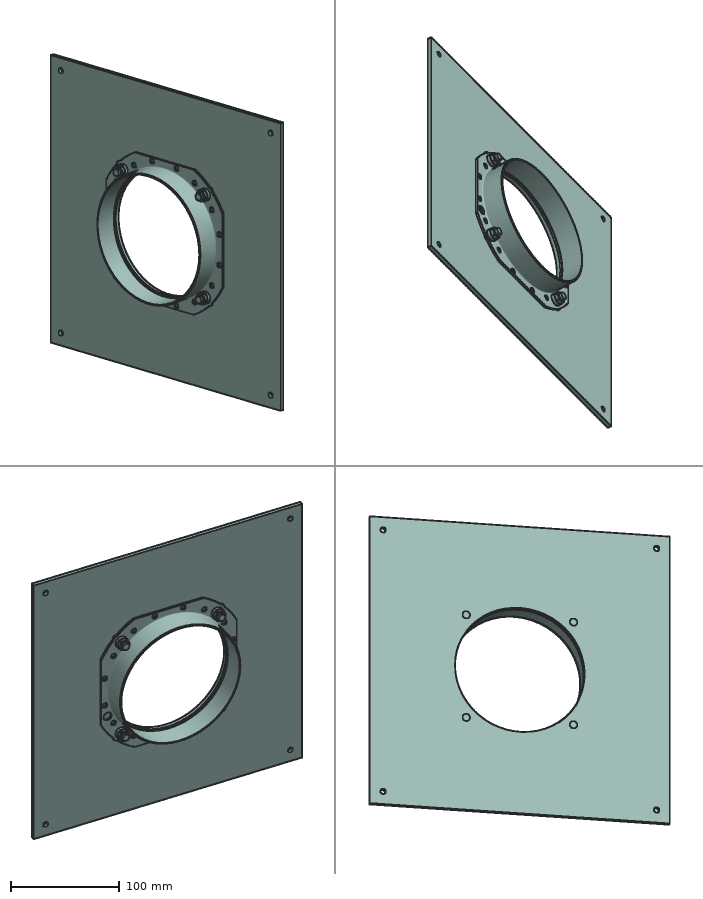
import cadquery as cq
import math

PLATE_SIZE = 282.0
PLATE_THICKNESS = 4.0
CORNER_HOLE_DIAMETER = 5.0
CORNER_HOLE_INSET = 12.5

COLLAR_LENGTH = 24.0
FLANGE_THICKNESS = 2.0
FLANGE_WIDTH = 142.0
FLANGE_CORNER_RADIUS = 79.8
TUBE_OUTER_RADIUS = 63.5
TUBE_WALL = 1.5
OPENING_RADIUS = 61.0
BASE_FILLET = 1.0
RIM_CHAMFER = 0.5
TAB_DIAMETER = 5.0
TAB_CENTRE_RADIUS = 78.5

RING_RADIUS = 69.0
RING_HOLE_DIAMETER = 5.0
RING_HOLE_ANGLES = (12.5, 32.5, 57.5, 77.5)
LARGE_HOLE_DIAMETER = 8.5
LARGE_HOLE_X = -64.5
LARGE_HOLE_Z = -28.0

FASTENER_RADIUS = 71.3
STUD_DIAMETER = 7.0
STUD_PROTRUSION = 11.8
NUT_BASE_DIAMETER = 11.8
NUT_BASE_HEIGHT = 3.5
NUT_HEIGHT = 7.0
NUT_CHAMFER = 1.0

QUADRANT_ANGLES = (0, 90, 180, 270)


def polar(radius, angle):
    """Point in the XZ plane at an angle measured from +X towards +Z."""
    return (radius * math.cos(math.radians(angle)), radius * math.sin(math.radians(angle)))


def facing_front(offset):
    """XZ sketch plane whose normal is -Y, set off from the plate front."""
    return cq.Workplane("XZ", origin=(0, -offset, 0))


def diagonal_points(radius):
    """One point on each diagonal, at the given distance from the centre."""
    return [polar(radius, quadrant + 45) for quadrant in QUADRANT_ANGLES]


fastener_points = diagonal_points(FASTENER_RADIUS)


def make_plate():
    """Square plate with the main opening, four corner holes and the stud holes."""
    hole_spacing = PLATE_SIZE - 2 * CORNER_HOLE_INSET
    back = facing_front(-PLATE_THICKNESS)
    square = back.rect(PLATE_SIZE, PLATE_SIZE).extrude(PLATE_THICKNESS)
    opening = back.circle(OPENING_RADIUS).extrude(PLATE_THICKNESS)
    corner_holes = (
        back.rect(hole_spacing, hole_spacing, forConstruction=True)
        .vertices()
        .circle(CORNER_HOLE_DIAMETER / 2)
        .extrude(PLATE_THICKNESS)
    )
    stud_holes = back.pushPoints(fastener_points).circle(STUD_DIAMETER / 2).extrude(PLATE_THICKNESS)
    return square.cut(opening).cut(corner_holes).cut(stud_holes)


def flange_cylinders(points, diameter):
    """Cylinders through the flange thickness at the given points."""
    return facing_front(0).pushPoints(points).circle(diameter / 2).extrude(FLANGE_THICKNESS)


def make_flange_outline():
    """Square flange with its corners rounded about the centre and a small tab on each diagonal."""
    square = facing_front(0).rect(FLANGE_WIDTH, FLANGE_WIDTH).extrude(FLANGE_THICKNESS)
    corner_limit = flange_cylinders([(0, 0)], 2 * FLANGE_CORNER_RADIUS)
    tabs = flange_cylinders(diagonal_points(TAB_CENTRE_RADIUS), TAB_DIAMETER)
    return square.intersect(corner_limit).union(tabs)


def make_tube():
    """Solid of revolution about Y with a filleted foot and a chamfered outer rim."""
    foot_radius = TUBE_OUTER_RADIUS + BASE_FILLET
    fillet_middle = BASE_FILLET * (1 - math.sqrt(0.5))
    inner_radius = TUBE_OUTER_RADIUS - TUBE_WALL
    return (
        cq.Workplane("XY")
        .moveTo(OPENING_RADIUS, 0)
        .lineTo(foot_radius, 0)
        .lineTo(foot_radius, -FLANGE_THICKNESS)
        .threePointArc(
            (TUBE_OUTER_RADIUS + fillet_middle, -FLANGE_THICKNESS - fillet_middle),
            (TUBE_OUTER_RADIUS, -FLANGE_THICKNESS - BASE_FILLET),
        )
        .lineTo(TUBE_OUTER_RADIUS, -COLLAR_LENGTH + RIM_CHAMFER)
        .lineTo(TUBE_OUTER_RADIUS - RIM_CHAMFER, -COLLAR_LENGTH)
        .lineTo(inner_radius, -COLLAR_LENGTH)
        .lineTo(inner_radius, -FLANGE_THICKNESS)
        .lineTo(OPENING_RADIUS, -FLANGE_THICKNESS)
        .close()
        .revolve(360, (0, 0, 0), (0, 1, 0))
    )


def make_collar():
    ring_points = [
        polar(RING_RADIUS, quadrant + angle) for quadrant in QUADRANT_ANGLES for angle in RING_HOLE_ANGLES
    ]
    return (
        make_flange_outline()
        .cut(flange_cylinders([(0, 0)], 2 * OPENING_RADIUS))
        .union(make_tube())
        .cut(flange_cylinders(ring_points, RING_HOLE_DIAMETER))
        .cut(flange_cylinders([(LARGE_HOLE_X, LARGE_HOLE_Z)], LARGE_HOLE_DIAMETER))
        .cut(flange_cylinders(fastener_points, STUD_DIAMETER))
    )


def make_stud(x, z):
    """Plain stud running from the back of the plate through the flange and the nut."""
    return (
        facing_front(-PLATE_THICKNESS)
        .center(x, z)
        .circle(STUD_DIAMETER / 2)
        .extrude(PLATE_THICKNESS + STUD_PROTRUSION)
    )


def make_nut(x, z):
    """Nut with a round base against the flange and a hexagon whose front corners are chamfered."""
    seat = facing_front(FLANGE_THICKNESS).center(x, z)
    base = seat.circle(NUT_BASE_DIAMETER / 2).extrude(NUT_BASE_HEIGHT)
    hexagon = seat.polygon(6, NUT_BASE_DIAMETER).extrude(NUT_HEIGHT)
    chamfered_limit = seat.circle(NUT_BASE_DIAMETER / 2).extrude(NUT_HEIGHT).faces("<Y").chamfer(NUT_CHAMFER)
    bore = seat.circle(STUD_DIAMETER / 2).extrude(NUT_HEIGHT)
    return base.union(hexagon.intersect(chamfered_limit)).cut(bore)


plate = make_plate()
collar = make_collar()
studs = [make_stud(x, z).val() for x, z in fastener_points]
nuts = [make_nut(x, z).val() for x, z in fastener_points]

result = cq.Compound.makeCompound([plate.val(), collar.val(), *studs, *nuts])